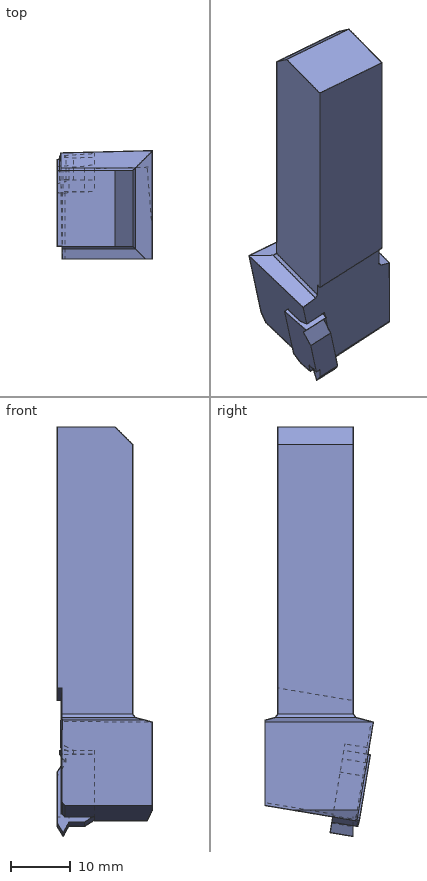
import cadquery as cq
import math

LENGTH = 68.8
SHANK_SIZE = 12.7
SHANK_FRONT = 2.1
SHANK_CHAMFER = 2.95

HEAD_RIGHT = 16.05
HEAD_BACK = 18.25
HEAD_RIM = 19.3
COLLAR_TOP = 20.6
COLLAR_SIZE = 0.4
COLLAR_DROP = 0.55
SHOULDER_SLOPE = 15.0
SHOULDER_DROP = 2.05
CORNER_CHAMFER_X = 0.95
CORNER_CHAMFER_TOP = 4.5
CORNER_CHAMFER_FOOT = 2.5
BACK_SKEW = 0.4

SEAT_TILT = 9.5
TIP_Y = 14.8
HEAD_FOOT_RISE = 2.7
EDGE_CHAMFER_X = 0.4
EDGE_CHAMFER_RISE = 0.5
RELIEF_FRONT = 0.9
RELIEF_BACK = 0.6
RELIEF_TOP_Z = 25.3

INSERT_FRONT = -3.9
INSERT_REAR = 0.6
INSERT_REAR_EDGE = 0.2
SIDE_FOOT_RISE = 1.65
TIP_X = 1.0
NOSE_X = 2.0
NOSE_RISE = 1.8
FOOT_END_X = 4.6
SEAT_X = 6.25
SEAT_FOOT_RISE = 2.9
SIDE_TOP_RISE = 10.3
NOTCH_X = 1.5
NOTCH_RISE = 12.6
CREST_X = 0.4
CREST_RISE = 14.05
ROOF_X = 2.75
ROOF_EDGE_RISE = 15.15
RAKE_TOP = 3.3

REACH = 41.3
SIN_TILT = math.sin(math.radians(SEAT_TILT))
COS_TILT = math.cos(math.radians(SEAT_TILT))


def seat_prism(points, front, rear):
    """Outline in (X, rise), extruded between two depths of the seat frame."""
    plane = cq.Plane(
        origin=(0, TIP_Y + front * COS_TILT, -front * SIN_TILT),
        xDir=(1, 0, 0),
        normal=(0, -COS_TILT, SIN_TILT),
    )
    return cq.Workplane(plane).polyline(points).close().extrude(front - rear)


def rise_prism(points, origin):
    """Outline in (X, depth), extruded down the rise direction from the origin."""
    plane = cq.Plane(origin=origin, xDir=(1, 0, 0), normal=(0, SIN_TILT, COS_TILT))
    return cq.Workplane(plane).polyline(points).close().extrude(-2 * REACH)


def make_shank():
    bar = cq.Workplane("XY").box(SHANK_SIZE, SHANK_SIZE, LENGTH - HEAD_RIM, centered=False)
    bar = bar.faces(">Z").edges(">X").chamfer(SHANK_CHAMFER)
    return bar.translate((0, SHANK_FRONT, HEAD_RIM))


def make_shoulder():
    """Steep collar, then a shallow slope, then straight sides, all square about the shank."""
    center_y = SHANK_FRONT + SHANK_SIZE / 2
    collar_width = SHANK_SIZE + 2 * COLLAR_SIZE
    base_width = collar_width + 2 * SHOULDER_DROP / math.tan(math.radians(SHOULDER_SLOPE))
    slope_top = COLLAR_TOP - COLLAR_DROP
    base_top = slope_top - SHOULDER_DROP

    def tier(top_width, top, foot_width, foot):
        plane = cq.Workplane("XY", origin=(SHANK_SIZE / 2, center_y, top))
        square = plane.rect(top_width, top_width)
        return square.workplane(offset=foot - top).rect(foot_width, foot_width).loft(ruled=True)

    collar = tier(SHANK_SIZE, COLLAR_TOP, collar_width, slope_top)
    slope = tier(collar_width, slope_top, base_width, base_top)
    base = tier(base_width, base_top, base_width, 0)
    return collar.union(slope).union(base)


def make_head():
    block = cq.Workplane("XY").box(HEAD_RIGHT, REACH, COLLAR_TOP, centered=False)
    head = block.intersect(make_shoulder())

    skew_end = BACK_SKEW + BACK_SKEW * REACH / HEAD_RIGHT
    behind = [(HEAD_RIGHT, 0), (HEAD_RIGHT, REACH), (-REACH, REACH), (-REACH, -skew_end)]
    head = head.cut(rise_prism(
        behind,
        (0, HEAD_BACK + REACH * SIN_TILT, HEAD_RIM + REACH * COS_TILT),
    ))

    underside = [
        (-REACH, -REACH),
        (REACH, -REACH),
        (REACH, HEAD_FOOT_RISE),
        (RELIEF_FRONT + EDGE_CHAMFER_X, HEAD_FOOT_RISE),
        (RELIEF_FRONT, HEAD_FOOT_RISE + EDGE_CHAMFER_RISE),
        (-REACH, HEAD_FOOT_RISE + EDGE_CHAMFER_RISE),
    ]
    head = head.cut(seat_prism(underside, -REACH, REACH))

    corner = (
        cq.Workplane("XZ")
        .polyline([
            (HEAD_RIGHT, CORNER_CHAMFER_TOP),
            (HEAD_RIGHT, CORNER_CHAMFER_FOOT),
            (HEAD_RIGHT - CORNER_CHAMFER_X, CORNER_CHAMFER_FOOT),
        ])
        .close()
        .extrude(-REACH)
    )
    return head.cut(corner)


def make_relief():
    """Thin wedge that sets the -X side of the head back from the shank."""
    slope = (RELIEF_FRONT - RELIEF_BACK) / HEAD_BACK
    front_x = RELIEF_FRONT + slope * REACH
    rear_x = RELIEF_FRONT - slope * REACH
    outline = [(-REACH, -REACH), (front_x, -REACH), (rear_x, REACH), (-REACH, REACH)]
    return rise_prism(outline, (0, 0, RELIEF_TOP_Z))


def make_pocket():
    outline = [
        (-REACH, -REACH),
        (SEAT_X, -REACH),
        (SEAT_X, CREST_RISE),
        (ROOF_X, CREST_RISE),
        (RELIEF_BACK, ROOF_EDGE_RISE),
        (-REACH, ROOF_EDGE_RISE),
    ]
    return seat_prism(outline, INSERT_FRONT, REACH)


def make_holder():
    return make_shank().union(make_head()).cut(make_relief()).cut(make_pocket())


def make_insert():
    outline = [
        (0, SIDE_FOOT_RISE),
        (TIP_X, 0),
        (NOSE_X, NOSE_RISE),
        (FOOT_END_X, NOSE_RISE),
        (SEAT_X, SEAT_FOOT_RISE),
        (SEAT_X, CREST_RISE),
        (CREST_X, CREST_RISE),
        (NOTCH_X, NOTCH_RISE),
        (0, SIDE_TOP_RISE),
    ]
    insert = seat_prism(outline, INSERT_FRONT, INSERT_REAR)

    behind = [(0, INSERT_REAR_EDGE), (SEAT_X, INSERT_REAR), (SEAT_X, REACH), (0, REACH)]
    insert = insert.cut(rise_prism(behind, (0, TIP_Y + REACH * SIN_TILT, REACH * COS_TILT)))

    rake = cq.Workplane("XY", origin=(0, TIP_Y, -RAKE_TOP)).box(
        NOSE_X, REACH, 2 * RAKE_TOP, centered=False
    )
    return insert.cut(rake)


holder = make_holder()
insert = make_insert()
result = cq.Compound.makeCompound([holder.solids().val(), insert.solids().val()])